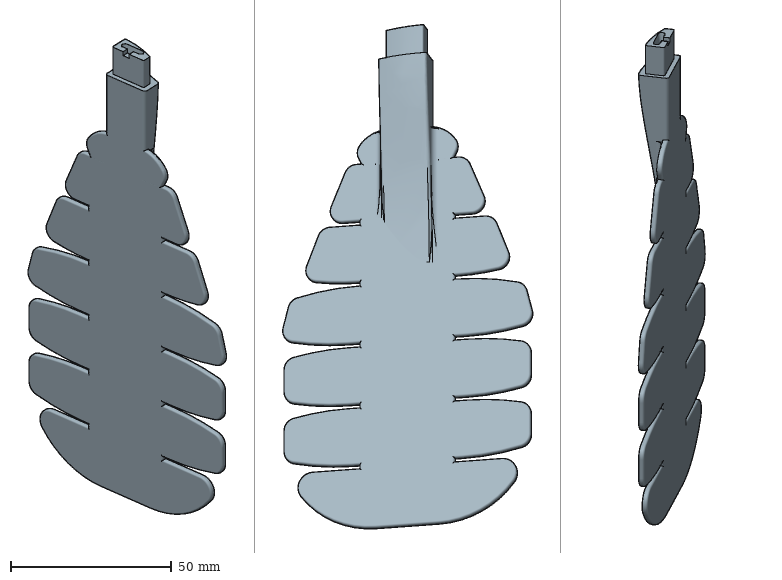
import cadquery as cq
import math

TOTAL_HEIGHT = 162.0

PLATE_THICKNESS = 2.0
PLATE_EDGE_RADIUS = 0.6
STEM_HALF_WIDTH = 15.2
LEAF_PITCH = 20.0
SLOT_WIDTH = 1.1
LOWEST_SLOT_Z = 20.4
LEAF_CORNER_RADIUS = 4.0
LEAF_EDGE_RADIUS = 81.0

BASE_FLAT_HALF_WIDTH = 10.0
BASE_ARC_RADIUS = 30.0
BASE_CORNER_RADIUS = 4.9

LOBE_TOP = (6.5, 130.5)
LOBE_SHOULDER = (12.6, 128.6)
LOBE_CORNER = (16.5, 123.6)
LOBE_FOOT = (14.3, 118.7)

NECK_HALF_WIDTH = 8.1
NECK_TOP_Z = 152.1
NECK_DEPTH = 9.9
NECK_MIDDLE_SHARE = 0.93
NECK_SHALLOW_SHARE = 0.68
NECK_CORNER_RADIUS = 1.0
NECK_FOOT_Z = 85.9
NECK_PROFILE = [
    (PLATE_THICKNESS, NECK_FOOT_Z),
    (3.0, 103.7),
    (5.0, 117.8),
    (8.5, 137.7),
    (NECK_DEPTH, NECK_TOP_Z),
]
NECK_SIDES = [(-NECK_HALF_WIDTH, 1.0), (NECK_HALF_WIDTH, NECK_SHALLOW_SHARE)]
ROOT_FILLET_TOP_Z = 129.6
ROOT_FILLET_RADIUS = 2.0

PLUG_LEFT = -6.6
PLUG_RIGHT = 6.2
PLUG_FRONT = 1.6
PLUG_BACK_LEFT = 8.0
PLUG_BACK_MIDDLE = 7.0
PLUG_BACK_RIGHT = 4.7
PLUG_CORNER_RADIUS = 0.5

SOCKET_CENTRE_X = -1.0
SOCKET_FRONT = 3.7
SOCKET_LENGTH = 8.5
SOCKET_WIDTH = 2.1
SOCKET_FLOOR_LENGTH = 6.5
SOCKET_FLOOR_WIDTH = 1.3
SOCKET_DEPTH = 4.9
NOTCH_WIDTH = 2.5
NOTCH_DEPTH = 1.5


def slot_z(index):
    """Centre height of a slot, counted upwards from the lowest one."""
    return LOWEST_SLOT_Z + index * LEAF_PITCH


def front_plane():
    """XZ plane through the front face."""
    return cq.Workplane(cq.Plane(origin=(0, 0, 0), xDir=(1, 0, 0), normal=(0, -1, 0)))


def extrude_back(outline):
    """Close a front outline and give it the plate thickness towards +Y."""
    return outline.close().extrude(-PLATE_THICKNESS)


def droop(x, bend_start):
    """Distance the bent leaf edge has moved from its straight line at x."""
    run = x - bend_start
    return LEAF_EDGE_RADIUS - math.sqrt(LEAF_EDGE_RADIUS**2 - run**2)


def edge_near(body, point):
    return body.edges(cq.selectors.NearestToPointSelector(point))


def round_corner(body, x, z, radius):
    """Round the through-thickness edge of the body at (x, z)."""
    return edge_near(body.edges("|Y"), (x, PLATE_THICKNESS / 2, z)).fillet(radius)


def round_rims(body):
    """Round the front and back rims of a plate-like body."""
    return body.faces("<Y or >Y").edges().fillet(PLATE_EDGE_RADIUS)


def leaf(index, bottom_corner_x, top_corner_x, bottom_bend=None, top_bend=None):
    """Right-hand leaf between two slots; a bend is the x where an edge starts to curve."""
    bottom = slot_z(index) + SLOT_WIDTH / 2
    top = slot_z(index + 1) - SLOT_WIDTH / 2
    bottom_corner_z = bottom
    top_corner_z = top
    outline = front_plane().moveTo(0, bottom)
    if bottom_bend is None:
        outline = outline.lineTo(bottom_corner_x, bottom)
    else:
        middle_x = (bottom_bend + bottom_corner_x) / 2
        bottom_corner_z = bottom + droop(bottom_corner_x, bottom_bend)
        outline = outline.lineTo(bottom_bend, bottom).threePointArc(
            (middle_x, bottom + droop(middle_x, bottom_bend)), (bottom_corner_x, bottom_corner_z)
        )
    if top_bend is None:
        outline = outline.lineTo(top_corner_x, top)
    else:
        middle_x = (top_bend + top_corner_x) / 2
        top_corner_z = top - droop(top_corner_x, top_bend)
        outline = outline.lineTo(top_corner_x, top_corner_z).threePointArc(
            (middle_x, top - droop(middle_x, top_bend)), (top_bend, top)
        )
    body = extrude_back(outline.lineTo(0, top))
    body = round_corner(body, bottom_corner_x, bottom_corner_z, LEAF_CORNER_RADIUS)
    return round_corner(body, top_corner_x, top_corner_z, LEAF_CORNER_RADIUS)


def base_leaf():
    """Right half of the foot, below the lowest slot."""
    top = slot_z(0) - SLOT_WIDTH / 2

    def arc_x(z):
        return BASE_FLAT_HALF_WIDTH + math.sqrt(BASE_ARC_RADIUS**2 - (BASE_ARC_RADIUS - z) ** 2)

    outline = (
        front_plane()
        .lineTo(BASE_FLAT_HALF_WIDTH, 0)
        .threePointArc((arc_x(top / 3), top / 3), (arc_x(top), top))
        .lineTo(0, top)
    )
    return round_corner(extrude_back(outline), arc_x(top), top, BASE_CORNER_RADIUS)


def top_lobe():
    """Right half of the lobe; its foot sinks into the top leaf and its inner side into the neck."""
    outline = (
        front_plane()
        .moveTo(LOBE_TOP[0], LOBE_FOOT[1])
        .lineTo(*LOBE_TOP)
        .threePointArc(LOBE_SHOULDER, LOBE_CORNER)
        .lineTo(*LOBE_FOOT)
    )
    return round_rims(round_corner(extrude_back(outline), *LOBE_CORNER, LEAF_CORNER_RADIUS))


def leaf_plate():
    """Stem with mirrored leaves, rounded rims and the lobe pair on top."""
    stem_bottom = slot_z(0) - LEAF_PITCH / 2
    stem_height = slot_z(4) + LEAF_PITCH / 2 - stem_bottom
    plate = cq.Workplane("XY").box(
        2 * STEM_HALF_WIDTH, PLATE_THICKNESS, stem_height, centered=(True, False, False)
    ).translate((0, 0, stem_bottom))
    right_leaves = [
        base_leaf(),
        leaf(0, 39.5, 39.5, bottom_bend=17.5, top_bend=19.1),
        leaf(1, 39.5, 39.5, bottom_bend=19.1, top_bend=19.1),
        leaf(2, 40.8, 37.6, bottom_bend=19.1, top_bend=15.5),
        leaf(3, 34.0, 27.5, bottom_bend=15.5),
        leaf(4, 26.7, 19.0),
    ]
    for right_leaf in right_leaves:
        plate = plate.union(right_leaf).union(right_leaf.mirror("YZ"))
    plate = round_rims(plate.clean())
    lobe = top_lobe()
    return plate.union(lobe).union(lobe.mirror("YZ"))


def domed_section(z, left, right, front, back_left, back_middle, back_right):
    """Closed wire at height z: flat front and sides, arched back falling towards +X."""
    return (
        cq.Workplane("XY", origin=(0, 0, z))
        .moveTo(left, front)
        .lineTo(right, front)
        .lineTo(right, back_right)
        .threePointArc(((left + right) / 2, back_middle), (left, back_left))
        .close()
    )


def neck():
    """Wedge lofted from the plate up to the neck top, with rounded long edges."""
    wires = [
        domed_section(
            z, -NECK_HALF_WIDTH, NECK_HALF_WIDTH, 0, depth,
            NECK_MIDDLE_SHARE * depth, NECK_SHALLOW_SHARE * depth,
        ).val()
        for depth, z in NECK_PROFILE
    ]
    wedge = cq.Workplane(cq.Solid.makeLoft(wires, False))
    middle_depth, middle_z = NECK_PROFILE[len(NECK_PROFILE) // 2]
    for x, share in NECK_SIDES:
        wedge = edge_near(wedge, (x, share * middle_depth, middle_z)).fillet(NECK_CORNER_RADIUS)
    rounded_bar = (
        cq.Workplane("XY", origin=(0, NECK_DEPTH, NECK_FOOT_Z))
        .rect(2 * NECK_HALF_WIDTH, 2 * NECK_DEPTH)
        .extrude(TOTAL_HEIGHT - NECK_FOOT_Z)
        .edges("|Z and <Y")
        .fillet(NECK_CORNER_RADIUS)
    )
    return wedge.intersect(rounded_bar)


def root_fillet(side_x, share):
    """Hollow strip between one neck side and the plate, fading out with the wedge."""
    outward = math.copysign(1, side_x)
    buried_y = PLATE_THICKNESS / 2
    toe_x = side_x + outward * ROOT_FILLET_RADIUS
    crest_y = PLATE_THICKNESS + ROOT_FILLET_RADIUS
    bow = ROOT_FILLET_RADIUS * math.sqrt(0.5)
    foot_z = NECK_PROFILE[0][1]
    strip = (
        cq.Workplane("XY", origin=(0, 0, foot_z))
        .moveTo(side_x, buried_y)
        .lineTo(toe_x, buried_y)
        .lineTo(toe_x, PLATE_THICKNESS)
        .threePointArc((toe_x - outward * bow, crest_y - bow), (side_x, crest_y))
        .close()
        .extrude(ROOT_FILLET_TOP_Z - foot_z)
    )
    below_back = (
        cq.Workplane("YZ")
        .moveTo(0, foot_z)
        .lineTo(share * PLATE_THICKNESS, foot_z)
        .spline([(share * depth, z) for depth, z in NECK_PROFILE[1:]], includeCurrent=True)
        .lineTo(0, NECK_TOP_Z)
        .close()
        .extrude(2 * side_x)
    )
    return strip.intersect(below_back)


def plug():
    """Smaller domed block standing on the neck top."""
    body = domed_section(
        NECK_TOP_Z, PLUG_LEFT, PLUG_RIGHT, PLUG_FRONT, PLUG_BACK_LEFT, PLUG_BACK_MIDDLE, PLUG_BACK_RIGHT
    ).extrude(TOTAL_HEIGHT - NECK_TOP_Z)
    return body.edges("|Z").fillet(PLUG_CORNER_RADIUS)


def socket():
    """Round-ended pocket whose back and end walls lean inwards towards its floor."""
    return (
        cq.Workplane("XY", origin=(SOCKET_CENTRE_X, SOCKET_FRONT, TOTAL_HEIGHT - SOCKET_DEPTH))
        .center(0, SOCKET_FLOOR_WIDTH / 2)
        .slot2D(SOCKET_FLOOR_LENGTH, SOCKET_FLOOR_WIDTH)
        .workplane(offset=SOCKET_DEPTH)
        .center(0, (SOCKET_WIDTH - SOCKET_FLOOR_WIDTH) / 2)
        .slot2D(SOCKET_LENGTH, SOCKET_WIDTH)
        .loft(ruled=True)
    )


def notch():
    """Small cut from the plug front into the middle of the socket."""
    reach = SOCKET_FRONT + SOCKET_FLOOR_WIDTH / 2
    return cq.Workplane("XY").box(NOTCH_WIDTH, reach, NOTCH_DEPTH, centered=(True, False, False)).translate(
        (SOCKET_CENTRE_X, 0, TOTAL_HEIGHT - NOTCH_DEPTH)
    )


result = leaf_plate().union(neck())
for side_x, share in NECK_SIDES:
    result = result.union(root_fillet(side_x, share))
result = result.union(plug()).cut(socket()).cut(notch())